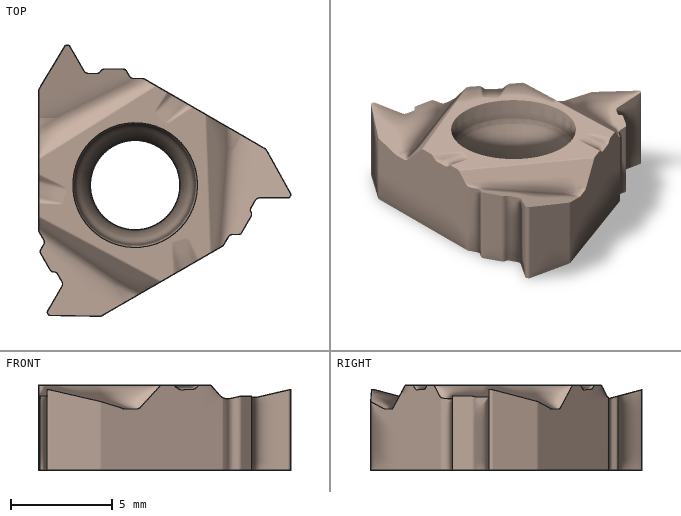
import cadquery as cq
import math

CORNERS = 3
TURN = 360 / CORNERS
thickness = 4.21
side_offset = 4.76

flank_slope = math.tan(math.radians(60))
outer_flank_slope = math.tan(math.radians(59))
tooth_tip_x = -3.35
tooth_tip_y = 7.06
tooth_height = 6.9
valley_height = 5.51
crest_height = 5.73
foot_height = 5.26
step_x = -1.77
crest_end_x = -0.48
tooth_round = 0.11
step_round = 0.2
crest_round = 0.2
root_round = 0.24

hole_radius = 4.4 / 2
mouth_radius = 3.08
rim_radius = 2.97
rim_depth = 1.11
seat_radius = 4.24
rim_round = 0.58

ramp_slope = math.tan(math.radians(15))
ramp_tip_height = 3.99
floor_height = 3.02
wall_direction = 32.0
wall_slope = math.tan(math.radians(48))
wall_offset = 3.61
wall_top_round = 0.13
wall_foot_round = 0.32

notch_angle = -15.0
notch_end_x = -3.47
notch_end_y = -0.56
notch_floor_width = 0.82
notch_floor_tilt = 9.5
notch_wall_slope = math.tan(math.radians(39))
notch_foot_round = 0.24
notch_edge_round = 0.13

clearance = 0.4
reach = 2 * tooth_height


def on_corner(shape, index):
    return shape.rotate((0, 0, 0), (0, 0, 1), index * TURN)


def turned(point, index):
    angle = math.radians(index * TURN)
    x, y = point
    return (
        x * math.cos(angle) - y * math.sin(angle),
        x * math.sin(angle) + y * math.cos(angle),
    )


def corner_profile():
    """Sharp outline points of one corner, each with its rounding radius."""
    shoulder_y = tooth_tip_y - (tooth_tip_x + side_offset) * outer_flank_slope
    tip_drop = tooth_tip_y - tooth_height
    valley_x = tooth_tip_x + (tooth_tip_y - valley_height) / flank_slope
    step_top_x = step_x + (crest_height - valley_height) / flank_slope
    foot_x = crest_end_x + (crest_height - foot_height) / flank_slope
    next_side_angle = math.radians(180 - TURN)
    side_x = (side_offset - foot_height * math.sin(next_side_angle)) / math.cos(next_side_angle)
    return [
        ((-side_offset, shoulder_y), root_round),
        ((tooth_tip_x - tip_drop / outer_flank_slope, tooth_height), tooth_round),
        ((tooth_tip_x + tip_drop / flank_slope, tooth_height), tooth_round),
        ((valley_x, valley_height), root_round),
        ((step_x, valley_height), step_round),
        ((step_top_x, crest_height), step_round),
        ((crest_end_x, crest_height), crest_round),
        ((foot_x, foot_height), root_round),
        ((side_x, foot_height), root_round),
    ]


def make_body():
    profile = corner_profile()
    outline = []
    for index in range(CORNERS):
        outline += [turned(point, -index) for point, _ in profile]
    body = cq.Workplane("XY").polyline(outline).close().extrude(thickness)
    for position, (_, radius) in enumerate(profile):
        for index in range(CORNERS):
            x, y = outline[index * len(profile) + position]
            corner_edge = cq.selectors.NearestToPointSelector((x, y, thickness / 2))
            body = body.edges("|Z").edges(corner_edge).fillet(radius)
    return body


def make_screw_hole():
    rim_height = thickness - rim_depth
    centre_radius = hole_radius + seat_radius
    seat_height = math.sqrt(seat_radius**2 - (centre_radius - rim_radius) ** 2)
    land_height = rim_height - seat_height
    half_angle = math.asin(seat_height / seat_radius) / 2
    seat_middle = (
        centre_radius - seat_radius * math.cos(half_angle),
        land_height + seat_radius * math.sin(half_angle),
    )
    return (
        cq.Workplane("XZ")
        .lineTo(hole_radius, 0)
        .lineTo(hole_radius, land_height)
        .threePointArc(seat_middle, (rim_radius, rim_height))
        .lineTo(mouth_radius, thickness)
        .lineTo(0, thickness)
        .close()
        .revolve(360, (0, 0), (0, 1))
        .edges(cq.selectors.RadiusNthSelector(1))
        .fillet(rim_round)
    )


def make_rake_recess():
    top = thickness + clearance
    knee_y = tooth_height - (ramp_tip_height - floor_height) / ramp_slope
    ramp_end_height = ramp_tip_height + (reach - tooth_height) * ramp_slope
    ramp = (
        cq.Workplane("YZ")
        .polyline(
            [
                (-reach, floor_height),
                (knee_y, floor_height),
                (reach, ramp_end_height),
                (reach, top + reach),
                (-reach, top + reach),
            ]
        )
        .close()
        .extrude(2 * reach, both=True)
        .rotate((0, 0, 0), (0, 0, 1), -wall_direction)
    )
    bottom_y = wall_offset + thickness / wall_slope
    wall_top_y = wall_offset - clearance / wall_slope
    front = (
        cq.Workplane("YZ", origin=(-reach, 0, 0))
        .polyline([(bottom_y, 0), (2 * reach, 0), (2 * reach, top), (wall_top_y, top)])
        .close()
        .extrude(2 * reach)
    )
    recess = front.intersect(ramp)
    recess = recess.faces("<Y").edges("not(#X or >Z)").fillet(wall_foot_round)
    return recess.rotate((0, 0, 0), (0, 0, 1), wall_direction)


def make_notch():
    depth = 3 * clearance
    half_floor = notch_floor_width / 2
    half_top = half_floor + depth / notch_wall_slope
    return (
        cq.Workplane("YZ")
        .polyline([(-half_floor, 0), (half_floor, 0), (half_top, depth), (-half_top, depth)])
        .close()
        .extrude(side_offset, both=True)
        .edges("|X and <Z")
        .fillet(notch_foot_round)
        .rotate((0, 0, 0), (0, 1, 0), -notch_floor_tilt)
        .rotate((0, 0, 0), (0, 0, 1), notch_angle)
        .translate((notch_end_x, notch_end_y, thickness))
    )


def cut_rake_recesses(body):
    for corner in range(CORNERS):
        body = body.cut(on_corner(make_rake_recess(), corner))
    direction = math.radians(wall_direction)
    for corner in range(CORNERS):
        x, y = turned((math.cos(direction), math.sin(direction)), corner)
        wall_edge = cq.selectors.ParallelDirSelector(cq.Vector(x, y, 0))
        body = body.faces(">Z").edges(wall_edge).fillet(wall_top_round)
    return body


def cut_notches(body):
    for corner in range(CORNERS):
        body = body.cut(on_corner(make_notch(), corner))
    return body.faces(">Z").edges("%ELLIPSE").fillet(notch_edge_round)


insert = cut_rake_recesses(make_body())
insert = cut_notches(insert)
result = insert.cut(make_screw_hole())